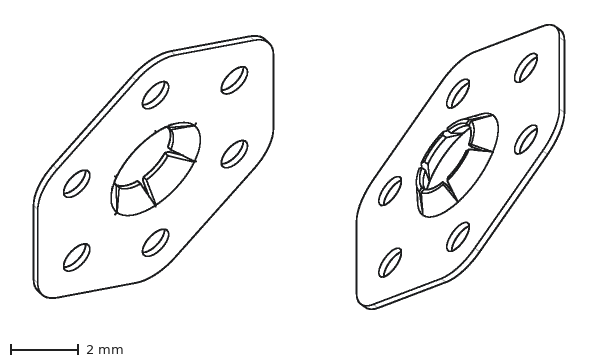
import cadquery as cq
import math

plate_thickness = 0.2
corner_count = 6
first_corner_angle = 90
corner_circle_radius = 3.5
corner_radius = 1.5
hole_diameter = 1.0

total_depth = 0.7
crown_base_radius = 1.8
crown_tip_radius = 1.29
crown_bore_radius = 1.15

slit_width_at_bore = 0.22

plate_front_x = -plate_thickness
crown_tip_x = -total_depth

crown_slope = (crown_base_radius - crown_tip_radius) / (total_depth - plate_thickness)
wall_across_radius = plate_thickness * math.hypot(1, crown_slope)
crown_back_radius = crown_base_radius + crown_slope * plate_thickness - wall_across_radius
bore_end_x = -(crown_back_radius - crown_bore_radius) / crown_slope

corner_step = 360 / corner_count
corner_angles = [first_corner_angle + index * corner_step for index in range(corner_count)]


def polar(radius, angle, center=(0, 0)):
    """Point (y, z) at a radius from center and an angle in degrees from +Y."""
    turn = math.radians(angle)
    return (center[0] + radius * math.cos(turn), center[1] + radius * math.sin(turn))


def make_plate():
    """Hexagonal plate with round corners and a hole at the centre of each corner arc."""
    centers = [polar(corner_circle_radius, angle) for angle in corner_angles]
    half_step = corner_step / 2
    last_arc_end = polar(corner_radius, corner_angles[-1] + half_step, centers[-1])
    outline = cq.Workplane("YZ").moveTo(*last_arc_end)
    for center, angle in zip(centers, corner_angles):
        arc_start = polar(corner_radius, angle - half_step, center)
        arc_middle = polar(corner_radius, angle, center)
        arc_end = polar(corner_radius, angle + half_step, center)
        outline = outline.lineTo(*arc_start).threePointArc(arc_middle, arc_end)
    plate = outline.close().extrude(plate_front_x)
    holes = cq.Workplane("YZ").pushPoints(centers).circle(hole_diameter / 2).extrude(plate_front_x)
    return plate.cut(holes)


def revolve_about_x(points):
    """Solid of revolution about the X axis from (x, radius) points."""
    return cq.Workplane("XY").polyline(points).close().revolve(360, (0, 0, 0), (1, 0, 0))


def make_crown():
    """Outer cone of the crown, still solid inside."""
    return revolve_about_x(
        [
            (plate_front_x, 0),
            (plate_front_x, crown_base_radius),
            (crown_tip_x, crown_tip_radius),
            (crown_tip_x, 0),
        ]
    )


def make_bore():
    """Opening that is straight at the tooth tips and flares out to the back of the plate."""
    return revolve_about_x(
        [
            (0, 0),
            (0, crown_back_radius),
            (bore_end_x, crown_bore_radius),
            (crown_tip_x, crown_bore_radius),
            (crown_tip_x, 0),
        ]
    )


def make_slit(angle):
    """Wedge through crown and plate that narrows from the axis to a point at the crown base."""
    taper = slit_width_at_bore / (crown_base_radius - crown_bore_radius)
    half_width_at_axis = taper * crown_base_radius / 2
    corners = [(0, -half_width_at_axis), (crown_base_radius, 0), (0, half_width_at_axis)]
    wedge = cq.Workplane("YZ").polyline(corners).close().extrude(crown_tip_x)
    return wedge.rotate((0, 0, 0), (1, 0, 0), angle)


result = make_plate().union(make_crown()).cut(make_bore())
for slit_angle in corner_angles:
    result = result.cut(make_slit(slit_angle))